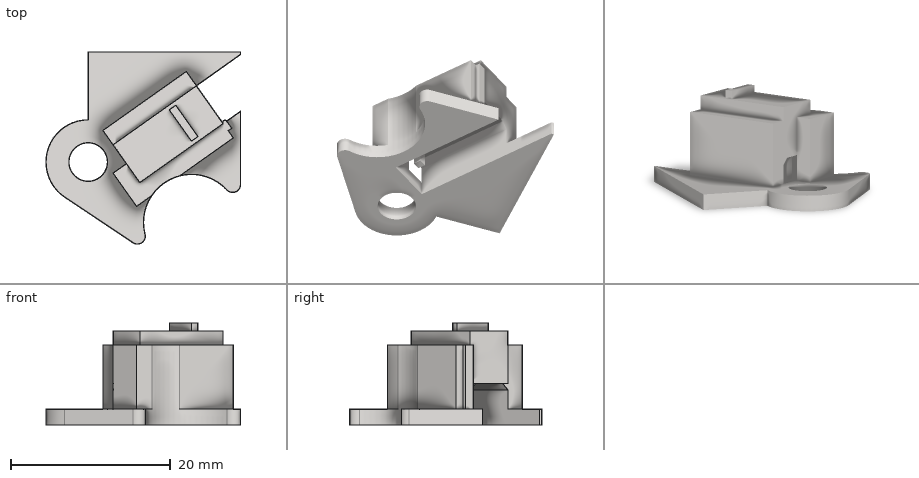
import cadquery as cq
import math

plate_thickness = 2.0
hole_diameter = 4.8
boss_radius = 5.3
plate_right = 19.1
plate_back = 13.8

bite_x = 12.95
bite_y = -7.56
bite_radius = 6.0
tip_radius = 1.0
right_tip_x = plate_right - tip_radius
front_tip_y = -9.29

switch_angle = 35.3
switch_length = 12.8
switch_width = 5.8
switch_height = 6.6
switch_near_u = 3.79
switch_top_v = -0.04
switch_far_u = switch_near_u + switch_length
switch_bottom_v = switch_top_v - switch_width
switch_mid_v = (switch_top_v + switch_bottom_v) / 2

plunger_thickness = 1.0
plunger_length = 4.8
plunger_height = 1.0
plunger_offset = 8.78

terminal_size = 1.0
terminal_offset = 1.1

wall_top = 10.06
wall_thickness = 2.2
stop_length = 2.05
ledge_size = 0.8
switch_base = 5.21
catch_thickness = 0.54
catch_depth = wall_thickness / 2

slot_run_out = 15.0


def turn(body):
    """Turn a body from the switch frame to its place on the plate."""
    return body.rotate((0, 0, 0), (0, 0, 1), switch_angle)


def block(u_start, u_end, v_start, v_end, z_start, z_end):
    """Box between the given limits, in the switch frame."""
    return cq.Workplane("XY").box(
        u_end - u_start, v_end - v_start, z_end - z_start, centered=False
    ).translate((u_start, v_start, z_start))


def on_circle(x, y, radius, angle):
    return (x + radius * math.cos(angle), y + radius * math.sin(angle))


def make_plate():
    tip_reach = bite_radius + tip_radius
    right_tip_y = bite_y + math.sqrt(tip_reach**2 - (right_tip_x - bite_x) ** 2)
    front_tip_x = bite_x - math.sqrt(tip_reach**2 - (front_tip_y - bite_y) ** 2)
    right_angle = math.atan2(right_tip_y - bite_y, right_tip_x - bite_x)
    front_angle = math.atan2(front_tip_y - bite_y, front_tip_x - bite_x) + 2 * math.pi

    centre_distance = math.hypot(front_tip_x, front_tip_y)
    edge_angle = math.atan2(front_tip_y, front_tip_x) - math.acos(
        (boss_radius - tip_radius) / centre_distance
    )

    right_tip_mid = (right_angle - math.pi) / 2
    front_tip_mid = (front_angle - math.pi + edge_angle) / 2
    boss_mid = (edge_angle - 1.5 * math.pi) / 2

    outline = (
        cq.Workplane("XY")
        .moveTo(0, plate_back)
        .lineTo(plate_right, plate_back)
        .lineTo(plate_right, right_tip_y)
        .threePointArc(
            on_circle(right_tip_x, right_tip_y, tip_radius, right_tip_mid),
            on_circle(bite_x, bite_y, bite_radius, right_angle),
        )
        .threePointArc(
            on_circle(bite_x, bite_y, bite_radius, (right_angle + front_angle) / 2),
            on_circle(bite_x, bite_y, bite_radius, front_angle),
        )
        .threePointArc(
            on_circle(front_tip_x, front_tip_y, tip_radius, front_tip_mid),
            on_circle(front_tip_x, front_tip_y, tip_radius, edge_angle),
        )
        .lineTo(*on_circle(0, 0, boss_radius, edge_angle))
        .threePointArc(on_circle(0, 0, boss_radius, boss_mid), (0, boss_radius))
        .close()
    )
    plate = outline.extrude(plate_thickness)
    hole = cq.Workplane("XY").circle(hole_diameter / 2).extrude(plate_thickness)
    slot = block(
        switch_near_u, switch_far_u + slot_run_out,
        switch_bottom_v, switch_top_v, 0, plate_thickness,
    )
    return plate.cut(hole).cut(turn(slot))


def make_ledge(wall_v, inward):
    """Triangular ledge on a wall face, flat on top and sloping at 45 degrees below."""
    return (
        cq.Workplane("YZ", origin=(switch_near_u, 0, 0))
        .moveTo(wall_v, switch_base)
        .lineTo(wall_v + inward * ledge_size, switch_base)
        .lineTo(wall_v, switch_base - ledge_size)
        .close()
        .extrude(switch_length)
    )


def make_catch():
    """Upright catch with a round nose that hooks behind the switch."""
    root_v = switch_bottom_v - catch_depth
    catch = block(
        switch_far_u, switch_far_u + catch_thickness,
        root_v, switch_bottom_v, plate_thickness, wall_top,
    )
    nose = (
        cq.Workplane("XY", origin=(0, 0, plate_thickness))
        .center(switch_far_u + catch_thickness / 2, switch_bottom_v)
        .circle(catch_thickness / 2)
        .extrude(wall_top - plate_thickness)
    )
    return catch.union(nose)


def make_walls():
    front_wall_v = switch_bottom_v - wall_thickness
    stop_u = switch_near_u - stop_length

    back_wall = block(
        switch_near_u, switch_far_u,
        switch_top_v, switch_top_v + wall_thickness, 0, wall_top,
    )
    front_wall = block(stop_u, switch_far_u, front_wall_v, switch_bottom_v, 0, wall_top)
    end_stop = block(stop_u, switch_near_u, front_wall_v, switch_mid_v, 0, wall_top)
    walls = (
        back_wall.union(front_wall)
        .union(end_stop)
        .union(make_ledge(switch_top_v, -1))
        .union(make_ledge(switch_bottom_v, 1))
        .union(make_catch())
    )
    bite = cq.Workplane("XY").center(bite_x, bite_y).circle(bite_radius).extrude(wall_top)
    return turn(walls).cut(bite)


def make_holder():
    return make_plate().union(make_walls())


def make_switch():
    switch_top = switch_base + switch_height
    plunger_u = switch_near_u + plunger_offset
    terminal_u = switch_near_u + terminal_offset
    body = block(
        switch_near_u, switch_far_u,
        switch_bottom_v, switch_top_v, switch_base, switch_top,
    )
    plunger = block(
        plunger_u - plunger_thickness / 2, plunger_u + plunger_thickness / 2,
        switch_mid_v - plunger_length / 2, switch_mid_v + plunger_length / 2,
        switch_top, switch_top + plunger_height,
    )
    terminal = block(
        terminal_u, terminal_u + terminal_size,
        switch_mid_v - terminal_size / 2, switch_mid_v + terminal_size / 2,
        plate_thickness, switch_base,
    )
    return turn(body.union(plunger).union(terminal))


holder = make_holder()
switch = make_switch()
result = cq.Compound.makeCompound([holder.val(), switch.val()])